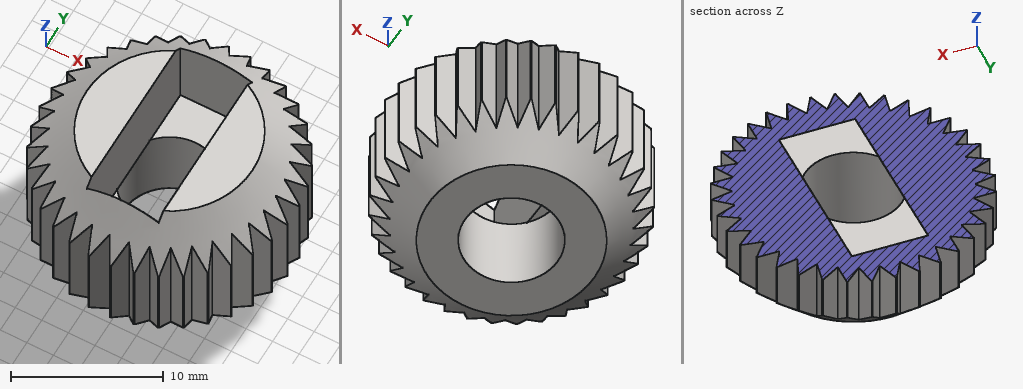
import cadquery as cq
import math

height = 12.5
outer_radius = 9.375
rim_chamfer = 3.125
tooth_count = 36
root_radius = 8.0
groove_angle = 60.0
bore_diameter = 7.0
slot_width = 5.4
slot_depth = height / 2

end_face_radius = outer_radius - rim_chamfer
slot_length = 2 * end_face_radius
tooth_pitch_angle = 360.0 / tooth_count
half_height = height / 2
groove_overshoot = 0.5


def make_blank():
    """Cylinder on the Z axis, centred on the origin, with both rims chamfered."""
    blank = cq.Workplane("XY").circle(outer_radius).extrude(half_height, both=True)
    return blank.faces("|Z").edges().chamfer(rim_chamfer)


def make_groove_cutter():
    """Full-height V prism whose root line lies on the +X side of the axis."""
    mouth_radius = outer_radius + groove_overshoot
    mouth_half_width = (mouth_radius - root_radius) * math.tan(math.radians(groove_angle / 2))
    outline = [
        (root_radius, 0),
        (mouth_radius, mouth_half_width),
        (mouth_radius, -mouth_half_width),
    ]
    return cq.Workplane("XY").polyline(outline).close().extrude(half_height, both=True)


def cut_teeth(body):
    """Cut evenly spaced V grooves around the body, leaving narrow-tipped teeth."""
    groove = make_groove_cutter()
    for index in range(tooth_count):
        body = body.cut(groove.rotate((0, 0, 0), (0, 0, 1), index * tooth_pitch_angle))
    return body


def cut_slot(body):
    """Cut the rectangular pocket, long in Y, down from the top face."""
    slot = (
        cq.Workplane("XY", origin=(0, 0, half_height))
        .rect(slot_width, slot_length)
        .extrude(-slot_depth)
    )
    return body.cut(slot)


def cut_bore(body):
    """Cut the round hole from the bottom face up to the slot floor."""
    bore = (
        cq.Workplane("XY", origin=(0, 0, -half_height))
        .circle(bore_diameter / 2)
        .extrude(height - slot_depth)
    )
    return body.cut(bore)


result = cut_bore(cut_slot(cut_teeth(make_blank())))